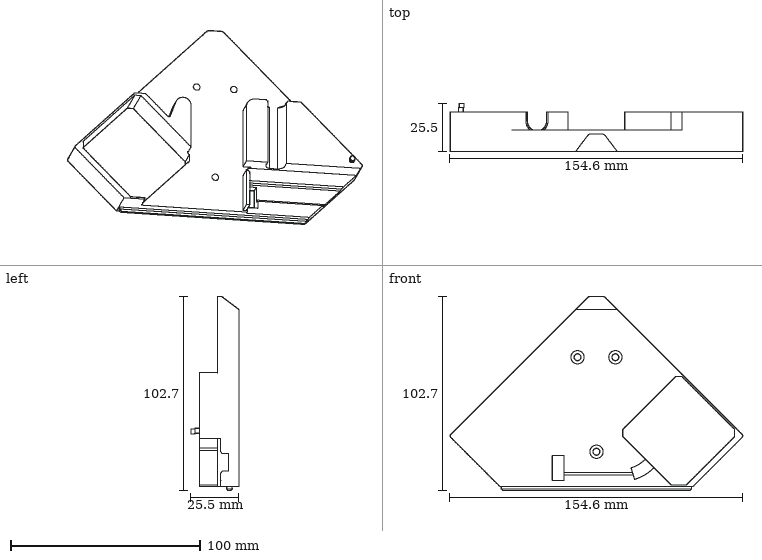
import cadquery as cq
import math


plate_thickness = 11.5
body_depth = 21.0
plate_height = 100.5
apex_half_width = 4.05
corner_height = 26.8
apex_radius = 2.5
side_corner_radius = 1.1
side_half_width = apex_half_width + plate_height - corner_height
bottom_half_width = side_half_width - corner_height
nose_bevel_height = 7.0
nose_bevel_depth = 9.3

tongue_center_y = 5.1
tongue_half_length = 50.3
tongue_height = 2.18
tongue_shoulder = 1.2
tongue_neck_half_width = 1.35
tongue_head_half_width = 1.55
tongue_tip_half_width = 0.8
tongue_end_taper = 1.0

left_block_top = 60.3
right_block_top = 59.3
left_block_corner_radius = 0.9
block_inner_x = 14.9
opening_wall = 2.7
left_block_bottom = 25.3
left_block_radius = 4.6

channel_x = -31.4
channel_radius = 5.0
channel_center_y = 16.0
channel_chamfer = 0.8

post_radius = 4.2
post_x = block_inner_x + post_radius
post_z = 54.4
post_flank_angle = 20.0
valley_radius = 1.0

opening_side = 44.3
opening_x = 43.5
opening_z = 28.3
opening_left = 13.95
opening_right = 72.8
opening_bottom = 0.9
opening_top = 58.0
opening_wall_start_x = 39.6

screw_diameter = 3.5
countersink_diameter = 7.0
countersink_angle = 90.0
upper_screw_spacing = 20.0
upper_screw_z = 68.3
lower_screw_z = 18.4

window_left = -23.2
window_right = -17.2
window_bottom = 3.3
window_top = 16.3

stop_left = -16.8
stop_bottom = 0.8
stop_top = 20.3
stop_chamfer = 1.2

pocket_floor_y = 9.8
pocket_radius = 1.9
trench_floor_y = 5.7
trench_bottom = 8.1
trench_top = 17.4
trench_bevel = 1.0

groove_diameter = 1.5
groove_z = 6.8
bend_center_x = 13.0
bend_center_z = 27.2
bend_radius = 21.3
bend_tube_radius = 3.2
bend_start_angle = 17.0
bend_sweep = 33.0

pin_diameter = 2.7
pin_length = 4.5
pin_root_length = 2.3
pin_root_x = -71.6
pin_root_z = 29.5
pin_head_shift = 0.4


def front_sketch(y):
    """Workplane at depth y with local x, y along X, Z; extrusions of negative length go toward +Y."""
    return cq.Workplane("XZ", origin=(0, y, 0))


def box_between(x0, x1, y0, y1, z0, z1):
    return cq.Workplane("XY").box(x1 - x0, y1 - y0, z1 - z0, centered=False).translate((x0, y0, z0))


def make_envelope():
    """Full-depth body with the six-sided outline, rounded at the apex and at both side corners."""
    outline = [
        (-bottom_half_width, 0),
        (bottom_half_width, 0),
        (side_half_width, corner_height),
        (apex_half_width, plate_height),
        (-apex_half_width, plate_height),
        (-side_half_width, corner_height),
    ]
    body = front_sketch(0).polyline(outline).close().extrude(-body_depth)
    body = body.edges("|Y").edges(">Z").fillet(apex_radius)
    body = body.edges("|Y").edges("<X").fillet(side_corner_radius)
    return body.edges("|Y").edges(">X").fillet(side_corner_radius)


def make_opening():
    square = (
        front_sketch(0).center(opening_x, opening_z)
        .transformed(rotate=(0, 0, 45)).rect(opening_side, opening_side).extrude(-body_depth)
    )
    limits = box_between(opening_left, opening_right, 0, body_depth, opening_bottom, opening_top)
    return square.intersect(limits)


def make_nose_bevel():
    return (
        cq.Workplane("YZ", origin=(-side_half_width, 0, 0))
        .polyline([
            (0, plate_height - nose_bevel_height),
            (nose_bevel_depth, plate_height),
            (0, plate_height),
        ])
        .close().extrude(2 * side_half_width)
    )


def make_channel():
    """Vertical U-shaped channel, open to the back and chamfered around its upper mouth."""
    open_end_y = body_depth + 2 * channel_chamfer

    def u_profile(z, radius):
        return (
            cq.Workplane("XY", origin=(channel_x, 0, z))
            .moveTo(-radius, open_end_y).lineTo(-radius, channel_center_y)
            .threePointArc((0, channel_center_y - radius), (radius, channel_center_y))
            .lineTo(radius, open_end_y).close()
        )

    shaft = u_profile(left_block_bottom, channel_radius).extrude(left_block_top - left_block_bottom)
    mouth = u_profile(left_block_top, channel_radius + channel_chamfer).extrude(-channel_chamfer, taper=45)
    return shaft.union(mouth)


def make_left_block(envelope):
    """Block behind the left side of the plate, rounded at both ends of its flat top."""
    block = box_between(
        -side_half_width, -block_inner_x, plate_thickness, body_depth, left_block_bottom, left_block_top
    )
    block = block.edges("|Y").edges(">X").edges(">Z").fillet(left_block_radius)
    block = block.intersect(envelope)
    block = block.faces(">Z").edges("<X").fillet(left_block_corner_radius)
    return block.cut(make_channel())


def make_right_block(envelope):
    """Walls around the square opening, with a round post where the upper wall ends."""
    depth = body_depth - plate_thickness
    wall_rise = opening_z - opening_x + (opening_side / 2 + opening_wall) * math.sqrt(2)
    walls = (
        front_sketch(plate_thickness)
        .polyline([
            (block_inner_x, block_inner_x + wall_rise),
            (right_block_top - wall_rise, right_block_top),
            (side_half_width, right_block_top),
            (side_half_width, 0),
            (opening_wall_start_x, 0),
            (opening_wall_start_x, opening_z),
            (block_inner_x, opening_z),
        ])
        .close().extrude(-depth)
    )
    flank = math.radians(post_flank_angle)
    tangent_x = post_x + post_radius * math.cos(flank)
    tangent_z = post_z + post_radius * math.sin(flank)
    flank_drop = post_z - opening_z
    post = front_sketch(plate_thickness).center(post_x, post_z).circle(post_radius).extrude(-depth)
    stem = (
        front_sketch(plate_thickness)
        .polyline([
            (block_inner_x, post_z),
            (post_x, post_z),
            (tangent_x, tangent_z),
            (tangent_x + flank_drop * math.tan(flank), tangent_z - flank_drop),
            (block_inner_x, opening_z),
        ])
        .close().extrude(-depth)
    )
    block = walls.union(stem).union(post)
    valley_x = (tangent_x + (tangent_z - wall_rise) * math.tan(flank)) / (1 + math.tan(flank))
    middle_y = (plate_thickness + body_depth) / 2
    valley = cq.selectors.NearestToPointSelector((valley_x, middle_y, valley_x + wall_rise))
    return block.edges("|Y").edges(valley).fillet(valley_radius).intersect(envelope)


def make_stop_wall():
    """Short wall behind the plate, standing between the window and the square opening."""
    stop = box_between(stop_left, -block_inner_x, plate_thickness, body_depth, stop_bottom, stop_top)
    return stop.edges("|Y").edges("<X").edges(">Z").chamfer(stop_chamfer)


def make_pocket():
    """Shallow pocket in the back of the plate, open at the lower left side."""
    pocket = box_between(
        -side_half_width, window_right, pocket_floor_y, plate_thickness, 0, left_block_bottom
    )
    return pocket.edges("|Y").edges(">X").edges(">Z").fillet(pocket_radius)


def make_trench():
    """Trench with bevelled edges, leading from the lower left side across the window."""
    profile = [
        (trench_floor_y, trench_bottom),
        (pocket_floor_y - trench_bevel, trench_bottom),
        (pocket_floor_y, trench_bottom - trench_bevel),
        (pocket_floor_y, trench_top + trench_bevel),
        (pocket_floor_y - trench_bevel, trench_top),
        (trench_floor_y, trench_top),
    ]
    return (
        cq.Workplane("YZ", origin=(-side_half_width, 0, 0))
        .polyline(profile).close().extrude(window_right + side_half_width)
    )


def make_screw_holes(plate):
    places = [
        (-upper_screw_spacing / 2, upper_screw_z),
        (upper_screw_spacing / 2, upper_screw_z),
        (0, lower_screw_z),
    ]
    return (
        plate.copyWorkplane(front_sketch(0)).pushPoints(places)
        .cskHole(screw_diameter, countersink_diameter, countersink_angle)
    )


def make_cable_groove():
    """Half-round groove from the window, widening into a bend that ends at the square opening."""
    start = math.radians(bend_start_angle)
    bend_start_x = bend_center_x + bend_radius * math.sin(start)
    straight = (
        cq.Workplane("YZ", origin=(window_right, 0, 0)).center(0, groove_z)
        .circle(groove_diameter / 2).extrude(bend_start_x - window_right)
    )
    bend = (
        cq.Workplane("YZ").center(0, -bend_radius).circle(bend_tube_radius)
        .revolve(bend_sweep, (1, bend_radius), (-1, bend_radius))
    )
    bend = bend.rotate((0, 0, 0), (0, 1, 0), -bend_start_angle)
    return straight.union(bend.translate((bend_center_x, 0, bend_center_z)))


def make_tongue():
    profile = [
        (tongue_center_y - tongue_neck_half_width, 0),
        (tongue_center_y - tongue_head_half_width, -tongue_shoulder),
        (tongue_center_y - tongue_tip_half_width, -tongue_height),
        (tongue_center_y + tongue_tip_half_width, -tongue_height),
        (tongue_center_y + tongue_head_half_width, -tongue_shoulder),
        (tongue_center_y + tongue_neck_half_width, 0),
    ]
    tongue = (
        cq.Workplane("YZ", origin=(-tongue_half_length, 0, 0))
        .polyline(profile).close().extrude(2 * tongue_half_length)
    )
    side_outline = [
        (-tongue_half_length, 0),
        (-tongue_half_length, -tongue_shoulder),
        (-tongue_half_length + tongue_end_taper, -tongue_height),
        (tongue_half_length - tongue_end_taper, -tongue_height),
        (tongue_half_length, -tongue_shoulder),
        (tongue_half_length, 0),
    ]
    return tongue.intersect(front_sketch(0).polyline(side_outline).close().extrude(-plate_thickness))


def make_pin():
    """Pin whose outer part is shifted sideways and down from its root."""
    root = (
        front_sketch(body_depth).center(pin_root_x, pin_root_z)
        .circle(pin_diameter / 2).extrude(-pin_root_length)
    )
    head = (
        front_sketch(body_depth + pin_root_length)
        .center(pin_root_x + pin_head_shift, pin_root_z - pin_head_shift)
        .circle(pin_diameter / 2).extrude(pin_root_length - pin_length)
    )
    return root.union(head)


envelope = make_envelope()
plate = envelope.intersect(
    box_between(-side_half_width, side_half_width, 0, plate_thickness, 0, plate_height)
)
plate = make_screw_holes(plate.cut(make_nose_bevel()))
plate = plate.cut(make_pocket()).cut(make_trench()).cut(make_cable_groove())

blocks = make_left_block(envelope).union(make_right_block(envelope)).union(make_stop_wall())
window = box_between(window_left, window_right, 0, plate_thickness, window_bottom, window_top)

result = plate.union(blocks).cut(make_opening()).cut(window).union(make_tongue()).union(make_pin())